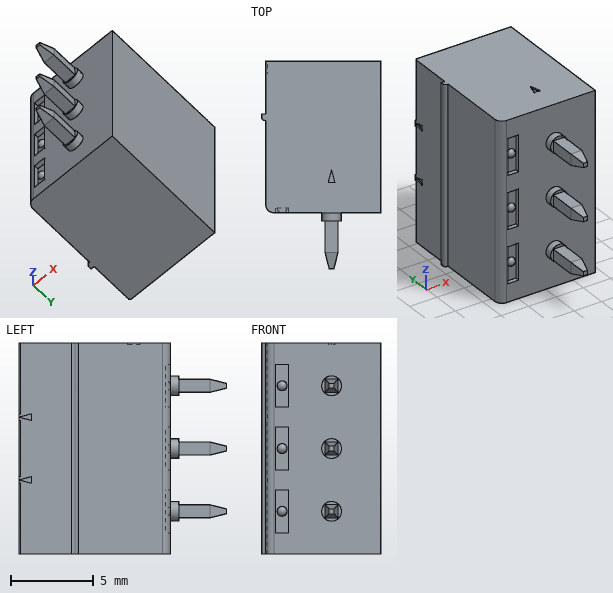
import cadquery as cq

BODY_WIDTH = 7.0
BODY_DEPTH = 9.2
BODY_HEIGHT = 12.82
FRONT_EDGE_RADIUS = 0.5
BACK_CHAMFER_Y = 0.1
BACK_CHAMFER_X = 0.07

RIB_HEIGHT = 0.25
RIB_WIDTH = 0.4
RIB_RADIUS = 0.2
RIB_BACK_Y = 6.0

PITCH = 3.81
POSITIONS = 3
CENTER_Z = BODY_HEIGHT / 2
PIN_X = 4.0
CONTACT_ZS = [CENTER_Z + (i - (POSITIONS - 1) / 2) * PITCH for i in range(POSITIONS)]

COLLAR_DIAMETER = 1.2
COLLAR_LENGTH = 0.5
PIN_SIZE = 0.8
PIN_TIP_SIZE = 0.3
PIN_LENGTH = 3.4
TIP_LENGTH = 1.0

POCKET_X = 1.0
POCKET_WIDTH = 0.8
POCKET_HEIGHT = 2.6
POCKET_DEPTH = 0.3
DOME_RADIUS = 0.3

ARROW_LENGTH = 0.75
ARROW_WIDTH = 0.4
ARROW_DEPTH = 0.1
TOP_ARROW_TIP_Y = 2.6
SIDE_ARROW_ZS = [(low + high) / 2 for low, high in zip(CONTACT_ZS, CONTACT_ZS[1:])]


def front_plane(y):
    """Plane facing the pin side (-Y), with local x along X and local y along Z."""
    return cq.Workplane("XZ", origin=(0, y, 0))


def make_block():
    """Housing block with a rounded front-left edge and a chamfered back-left edge."""
    block = cq.Workplane("XY").box(BODY_WIDTH, BODY_DEPTH, BODY_HEIGHT, centered=False)
    block = block.edges("|Z and <X and <Y").fillet(FRONT_EDGE_RADIUS)
    return block.edges("|Z and <X and >Y").chamfer(BACK_CHAMFER_Y, BACK_CHAMFER_X)


def make_corner_tab(z):
    """Short stretch of square back-left edge, which interrupts the chamfer behind a side arrow."""
    return (
        cq.Workplane("XY", origin=(0, BODY_DEPTH - BACK_CHAMFER_Y, z - ARROW_WIDTH / 2))
        .box(BACK_CHAMFER_X, BACK_CHAMFER_Y, ARROW_WIDTH, centered=False)
    )


def make_rib():
    """Full-height rib with one rounded corner on its pin-side flank."""
    rib = (
        cq.Workplane("XY", origin=(-RIB_HEIGHT, RIB_BACK_Y - RIB_WIDTH, 0))
        .box(RIB_HEIGHT, RIB_WIDTH, BODY_HEIGHT, centered=False)
    )
    return rib.edges("|Z and <X and <Y").fillet(RIB_RADIUS)


def make_pin(z):
    """Collar, square shank and tapered tip, pointing toward -Y."""
    shank_length = PIN_LENGTH - TIP_LENGTH
    collar = front_plane(0).center(PIN_X, z).circle(COLLAR_DIAMETER / 2).extrude(COLLAR_LENGTH)
    shank = front_plane(0).center(PIN_X, z).rect(PIN_SIZE, PIN_SIZE).extrude(shank_length)
    tip = (
        front_plane(-shank_length)
        .center(PIN_X, z)
        .rect(PIN_SIZE, PIN_SIZE)
        .workplane(offset=TIP_LENGTH)
        .rect(PIN_TIP_SIZE, PIN_TIP_SIZE)
        .loft(ruled=True)
    )
    return collar.union(shank).union(tip)


def make_pocket(z):
    """Cutter for a rectangular pocket in the pin-side face."""
    return (
        front_plane(POCKET_DEPTH)
        .center(POCKET_X, z)
        .rect(POCKET_WIDTH, POCKET_HEIGHT)
        .extrude(POCKET_DEPTH)
    )


def make_dome(z):
    """Ball half sunk in the pocket floor, leaving a domed button."""
    return cq.Workplane("XY", origin=(POCKET_X, POCKET_DEPTH, z)).sphere(DOME_RADIUS)


def make_arrow(plane):
    """Triangular cutter with its tip at the plane origin, pointing along the plane's local y."""
    return (
        cq.Workplane(plane)
        .polyline([(0, 0), (-ARROW_WIDTH / 2, -ARROW_LENGTH), (ARROW_WIDTH / 2, -ARROW_LENGTH)])
        .close()
        .extrude(-ARROW_DEPTH)
    )


result = make_block().union(make_rib())

for contact_z in CONTACT_ZS:
    result = result.cut(make_pocket(contact_z))
    result = result.union(make_dome(contact_z))
    result = result.union(make_pin(contact_z))

top_arrow_plane = cq.Plane(origin=(PIN_X, TOP_ARROW_TIP_Y, BODY_HEIGHT), xDir=(1, 0, 0), normal=(0, 0, 1))
result = result.cut(make_arrow(top_arrow_plane))

for arrow_z in SIDE_ARROW_ZS:
    side_arrow_plane = cq.Plane(origin=(0, BODY_DEPTH, arrow_z), xDir=(0, 0, 1), normal=(-1, 0, 0))
    result = result.union(make_corner_tab(arrow_z))
    result = result.cut(make_arrow(side_arrow_plane))